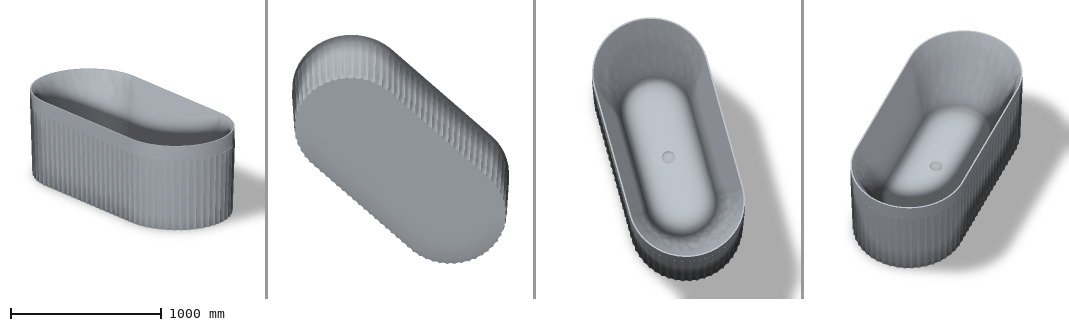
import cadquery as cq
import math

length = 1700.0
height = 600.0
width = 780.0
rim_half_width = width / 2

tub_x = -2.0
rim_half_length = length / 2 + tub_x
rim_joint_x = 478.0
band_height = 100.0
apron_height = height - band_height
rim_thickness = 10.0
tub_wall = 10.0
floor_z = 153.0
floor_half_length = 547.0
floor_half_width = 225.0
floor_joint_x = 335.0
floor_fillet = 37.0
drain_x = -5.0
drain_top_radius = 45.0
drain_depth = 5.0
drain_taper = 7.0

flute_radius = rim_half_width
side_flutes = 18
end_flutes = 24
half_outline_flutes = side_flutes + end_flutes
split_flutes = (0, side_flutes, side_flutes + end_flutes // 2)
half_pitch_angle = math.pi / end_flutes / 2
flute_center_x = length / 2 - flute_radius * math.cos(half_pitch_angle)
foot_inset = 14.0
flute_depth_top = 1.4
flute_depth_bottom = 9.0


def racetrack(half_length, half_width, joint_x, z):
    """Closed outline with two straight sides and two rounded ends, at height z, centered on the tub."""
    return (
        cq.Workplane("XY", origin=(tub_x, 0, z))
        .moveTo(-joint_x, -half_width)
        .lineTo(joint_x, -half_width)
        .threePointArc((half_length, 0), (joint_x, half_width))
        .lineTo(-joint_x, half_width)
        .threePointArc((-half_length, 0), (-joint_x, -half_width))
        .close()
        .wire()
        .val()
    )


def tapered_bowl(growth, top_z, bottom_z):
    """Solid between the basin's rim and floor outlines, both grown outward by growth."""
    top = racetrack(
        rim_half_length - rim_thickness + growth,
        rim_half_width - rim_thickness + growth,
        rim_joint_x, top_z,
    )
    bottom = racetrack(
        floor_half_length + growth,
        floor_half_width + growth,
        floor_joint_x, bottom_z,
    )
    bowl = cq.Workplane(cq.Solid.makeLoft([bottom, top], True))
    return bowl.faces("<Z").edges().fillet(floor_fillet + growth)


def make_bowl_outside():
    """Outside of the bowl below the band, which is also the recess in the apron."""
    bowl = tapered_bowl(tub_wall, height, floor_z - tub_wall)
    below_band = cq.Workplane("XY").box(length, length, apron_height, centered=(True, True, False))
    return bowl.intersect(below_band)


def make_drain():
    """Shallow conical drain recess in the floor."""
    drain = cq.Solid.makeCone(
        drain_top_radius - drain_taper, drain_top_radius, drain_depth,
        pnt=cq.Vector(drain_x, 0, floor_z - drain_depth),
    )
    return cq.Workplane(drain)


def make_tub():
    """Rim band with the thin bowl below it, hollowed by the basin and the drain."""
    outline = racetrack(rim_half_length, rim_half_width, rim_joint_x, apron_height)
    band = cq.Workplane(cq.Solid.extrudeLinear(outline, [], cq.Vector(0, 0, band_height)))
    tub = band.union(make_bowl_outside())
    tub = tub.cut(tapered_bowl(0.0, height, floor_z))
    return tub.cut(make_drain()).solids()


def outline_point(step, inset):
    """Point on the top outline, moved inward by inset.

    Steps count flute pitches counterclockwise from the -X end of the -Y side;
    whole steps are flute middles and half steps are crests.
    """
    half_turns, step = divmod(step, half_outline_flutes)
    turned = 1 if half_turns % 2 == 0 else -1
    radius = flute_radius - inset
    if step <= side_flutes:
        x = flute_center_x * (2 * step / side_flutes - 1)
        y = -radius
    else:
        angle = math.pi * (step - side_flutes) / end_flutes
        x = flute_center_x + radius * math.sin(angle)
        y = -radius * math.cos(angle)
    return turned * x, turned * y


def fluted_outline(z, crest_inset, depth):
    """Closed chain of concave arcs, one per flute, with their crests between them."""
    quarter_depth = depth * 3 / 4
    scale_x = 1 - crest_inset / (length / 2)
    scale_y = 1 - crest_inset / rim_half_width

    def place(step, inset=0.0):
        x, y = outline_point(step, inset)
        return x * scale_x, y * scale_y

    outline = cq.Workplane("XY", origin=(0, 0, z)).moveTo(*place(-0.5))
    for flute in range(2 * half_outline_flutes):
        if flute % half_outline_flutes in split_flutes:
            outline = outline.threePointArc(place(flute - 0.25, quarter_depth), place(flute, depth))
            outline = outline.threePointArc(place(flute + 0.25, quarter_depth), place(flute + 0.5))
        else:
            outline = outline.threePointArc(place(flute, depth), place(flute + 0.5))
    return outline.close().wire().val()


def make_apron():
    """Fluted base that tapers toward its foot, with a recess that the bowl fills."""
    foot = fluted_outline(0.0, foot_inset, flute_depth_bottom)
    top = fluted_outline(apron_height, 0.0, flute_depth_top)
    apron = cq.Workplane(cq.Solid.makeLoft([foot, top], True))
    return apron.cut(make_bowl_outside()).solids()


tub = make_tub()
apron = make_apron()
result = cq.Compound.makeCompound([tub.val(), apron.val()])